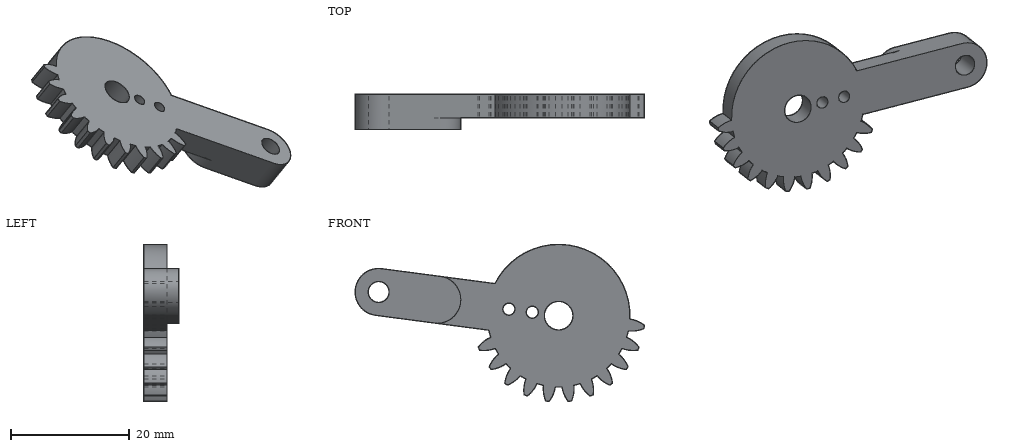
import cadquery as cq
import math

MODULE = 1.125
TEETH_PER_TURN = 24
TEETH_CUT = 11
DEDENDUM_FACTOR = 1.25
TOOTH_PITCH = 360 / TEETH_PER_TURN
FIRST_TOOTH_ANGLE = -TOOTH_PITCH / 2

PITCH_RADIUS = MODULE * TEETH_PER_TURN / 2
TIP_RADIUS = PITCH_RADIUS + MODULE
ROOT_RADIUS = PITCH_RADIUS - DEDENDUM_FACTOR * MODULE

ROOT_HALF_ANGLE = math.radians(4.9)
PITCH_HALF_ANGLE = math.radians(3.4)
TIP_HALF_ANGLE = math.radians(1.15)
TOOTH_EMBED = 0.5

ARM_ANGLE = 180 - TOOTH_PITCH / 2
ARM_LENGTH = 30.75
ARM_WIDTH = 8.0
PAD_LENGTH = 10.0

PLATE_THICKNESS = 4.0
PAD_HEIGHT = 2.0

AXLE_HOLE_DIAMETER = 4.8
PIN_HOLE_DIAMETER = 3.5
SCREW_HOLE_DIAMETER = 2.0
SCREW_HOLE_DISTANCES = (4.5, 8.5)


def polar(radius, angle):
    """Point in the XZ plane at an angle in radians."""
    return (radius * math.cos(angle), radius * math.sin(angle))


def arm_point(distance):
    """Point on the arm's center line."""
    return polar(distance, math.radians(ARM_ANGLE))


def extrude_back(sketch):
    """Extrude a front-plane outline through the plate, toward +Y."""
    return sketch.extrude(-PLATE_THICKNESS)


def make_tooth():
    """One tooth centered on +X, each flank a single arc from the root circle to the tip."""

    def flank_points(side):
        foot = polar(ROOT_RADIUS - TOOTH_EMBED, side * ROOT_HALF_ANGLE)
        root = polar(ROOT_RADIUS, side * ROOT_HALF_ANGLE)
        middle = polar(PITCH_RADIUS, side * PITCH_HALF_ANGLE)
        tip = polar(TIP_RADIUS, side * TIP_HALF_ANGLE)
        return foot, root, middle, tip

    lower_foot, lower_root, lower_middle, lower_tip = flank_points(-1)
    upper_foot, upper_root, upper_middle, upper_tip = flank_points(1)
    outline = (
        cq.Workplane("XZ")
        .moveTo(*lower_foot)
        .lineTo(*lower_root)
        .threePointArc(lower_middle, lower_tip)
        .threePointArc((TIP_RADIUS, 0), upper_tip)
        .threePointArc(upper_middle, upper_root)
        .lineTo(*upper_foot)
        .close()
    )
    return extrude_back(outline)


def make_gear():
    """Disc of root radius with teeth on its lower half."""
    gear = extrude_back(cq.Workplane("XZ").circle(ROOT_RADIUS))
    tooth = make_tooth()
    for index in range(TEETH_CUT):
        angle = FIRST_TOOTH_ANGLE - index * TOOTH_PITCH
        gear = gear.union(tooth.rotate((0, 0, 0), (0, -1, 0), angle))
    return gear


def slot_outline(start, end):
    """Round-ended outline of the arm's width between two distances on its center line."""
    center = arm_point((start + end) / 2)
    total_length = end - start + ARM_WIDTH
    return cq.Workplane("XZ").center(*center).slot2D(total_length, ARM_WIDTH, ARM_ANGLE)


def make_arm():
    """Arm from the gear axis to the pin, with the raised pad on its front at the pin end."""
    arm = extrude_back(slot_outline(0, ARM_LENGTH))
    pad = slot_outline(ARM_LENGTH - PAD_LENGTH, ARM_LENGTH).extrude(PAD_HEIGHT)
    return arm.union(pad)


def make_hole(distance, diameter):
    """Through-hole cutter centered on the arm's center line."""
    total_thickness = PLATE_THICKNESS + PAD_HEIGHT
    sketch = cq.Workplane("XZ", origin=(0, PLATE_THICKNESS, 0)).center(*arm_point(distance))
    return sketch.circle(diameter / 2).extrude(total_thickness)


result = make_gear().union(make_arm())
result = result.cut(make_hole(0, AXLE_HOLE_DIAMETER))
result = result.cut(make_hole(ARM_LENGTH, PIN_HOLE_DIAMETER))
for screw_distance in SCREW_HOLE_DISTANCES:
    result = result.cut(make_hole(screw_distance, SCREW_HOLE_DIAMETER))